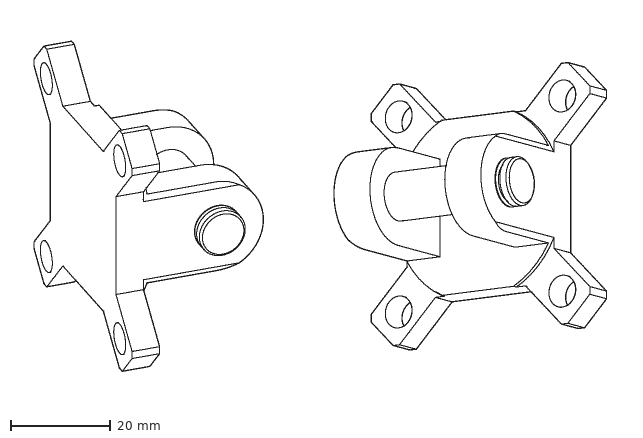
import cadquery as cq

PLATE_SPAN = 53.5
PLATE_THICKNESS = 6.0
CORE_SIZE = 35.95
ARM_WIDTH = 9.85
ARM_REACH = 34.0
MOUNT_HOLE_OFFSET = 20.0
MOUNT_HOLE_DIAMETER = 6.55

PAD_THICKNESS = 1.0
TURNED_RADIUS = 20.0
LUG_RADIUS = 10.0
LUG_THICKNESS = 8.85
TOTAL_DEPTH = 32.0
PIVOT_Y = TOTAL_DEPTH - LUG_RADIUS
PAD_TOP = PLATE_THICKNESS + PAD_THICKNESS

PIN_LENGTH = 42.25
PIN_RADIUS = 5.0
PIN_CHAMFER = 0.5
HEAD_LENGTH = 2.0
GROOVE_RADIUS = 4.0
SHANK_OVERHANG = 0.15
GROOVE_WIDTH = (PIN_LENGTH - CORE_SIZE) / 2 - HEAD_LENGTH - SHANK_OVERHANG


def block(size_x, size_z, start_y, end_y):
    """Box centred on the Y axis, between two Y positions."""
    box = cq.Workplane("XY").box(size_x, end_y - start_y, size_z)
    return box.translate((0, (start_y + end_y) / 2, 0))


def cylinder_along_x(radius, start_x, length):
    """Cylinder on the pivot axis."""
    section = cq.Workplane("YZ", origin=(start_x, PIVOT_Y, 0))
    return section.circle(radius).extrude(length)


def make_plate():
    plate = block(CORE_SIZE, CORE_SIZE, 0, PLATE_THICKNESS)
    for angle in (45, -45):
        arms = block(2 * ARM_REACH, ARM_WIDTH, 0, PLATE_THICKNESS)
        plate = plate.union(arms.rotate((0, 0, 0), (0, 1, 0), angle))
    plate = plate.intersect(block(PLATE_SPAN, PLATE_SPAN, 0, PLATE_THICKNESS))
    mount_holes = (
        cq.Workplane("XZ")
        .rect(2 * MOUNT_HOLE_OFFSET, 2 * MOUNT_HOLE_OFFSET, forConstruction=True)
        .vertices()
        .circle(MOUNT_HOLE_DIAMETER / 2)
        .extrude(-PLATE_THICKNESS)
    )
    return plate.cut(mount_holes)


def make_lug(start_x):
    """Round-ended lug rising from the pad."""
    root_length = PIVOT_Y - PLATE_THICKNESS
    root = (
        cq.Workplane("XY")
        .box(LUG_THICKNESS, root_length, 2 * LUG_RADIUS)
        .translate((start_x + LUG_THICKNESS / 2, PLATE_THICKNESS + root_length / 2, 0))
    )
    return root.union(cylinder_along_x(LUG_RADIUS, start_x, LUG_THICKNESS))


def make_bracket():
    upper = block(CORE_SIZE, CORE_SIZE, PLATE_THICKNESS, PAD_TOP)
    for start_x in (-CORE_SIZE / 2, CORE_SIZE / 2 - LUG_THICKNESS):
        upper = upper.union(make_lug(start_x))
    turned_envelope = cq.Workplane("XZ").circle(TURNED_RADIUS).extrude(-TOTAL_DEPTH)
    upper = upper.intersect(turned_envelope)
    pin_hole = cylinder_along_x(PIN_RADIUS, -CORE_SIZE / 2, CORE_SIZE)
    return make_plate().union(upper).cut(pin_hole)


def make_pin():
    pin = cylinder_along_x(PIN_RADIUS, -PIN_LENGTH / 2, PIN_LENGTH)
    pin = pin.faces("<X or >X").chamfer(PIN_CHAMFER)
    groove_start = PIN_LENGTH / 2 - HEAD_LENGTH - GROOVE_WIDTH
    for start_x in (-groove_start - GROOVE_WIDTH, groove_start):
        ring = cylinder_along_x(PIN_RADIUS, start_x, GROOVE_WIDTH)
        pin = pin.cut(ring.cut(cylinder_along_x(GROOVE_RADIUS, start_x, GROOVE_WIDTH)))
    return pin


bracket = make_bracket()
pin = make_pin()
result = cq.Compound.makeCompound([bracket.val(), pin.val()])